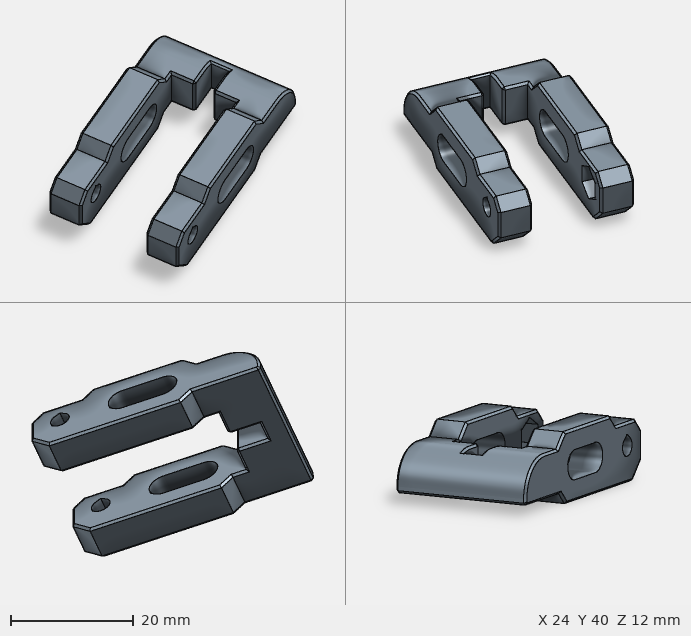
import cadquery as cq
import math

width = 24.0
length = 40.0
height = 12.0
edge_break = 0.4

tip_top = 10.0
tip_top_chamfer = 2.0
tip_bottom_chamfer = 3.0
front_ramp_start = 8.75
hump_rear = 26.5
nose_top = 9.5
nose_bottom = 2.0
nose_radius = 6.5
belly_rear = 26.0

leg_width = 6.0
gap_depth = 30.5
relief_width = 3.3
relief_depth = 36.0

axis_height = height / 2
slot_length = 12.0
slot_width = 5.0
slot_center = 19.5
pivot_center = 5.0
pivot_diameter = 3.25
roof_slope = 35.0
nut_across_flats = 5.5
nut_depth = leg_width / 2

gap_width = width - 2 * leg_width
openings = [(gap_width, gap_depth), (relief_width, relief_depth)]

tolerance = 0.005


def make_blank():
    """Side profile extruded across the full width, centred on X = 0."""
    front_ramp_end = front_ramp_start + height - tip_top
    rear_ramp_end = hump_rear + height - nose_top
    arc_y = length - nose_radius
    arc_z = nose_top - nose_radius
    arc_mid = nose_radius * math.sqrt(0.5)
    return (
        cq.Workplane("YZ")
        .moveTo(tip_bottom_chamfer, 0)
        .lineTo(belly_rear, 0)
        .lineTo(belly_rear + nose_bottom, nose_bottom)
        .lineTo(length - edge_break, nose_bottom)
        .lineTo(length, nose_bottom + edge_break)
        .lineTo(length, arc_z)
        .threePointArc((arc_y + arc_mid, arc_z + arc_mid), (arc_y, nose_top))
        .lineTo(rear_ramp_end, nose_top)
        .lineTo(hump_rear, height)
        .lineTo(front_ramp_end, height)
        .lineTo(front_ramp_start, tip_top)
        .lineTo(tip_top_chamfer, tip_top)
        .lineTo(0, tip_top - tip_top_chamfer)
        .lineTo(0, tip_bottom_chamfer)
        .close()
        .extrude(width / 2, both=True)
    )


def make_opening(opening_width, depth):
    """Full-height opening that runs from the front of the part back to Y = depth."""
    return cq.Workplane("XY").box(opening_width, depth, height, centered=(True, False, False))


def is_inner_corner(edge):
    """True for the upright corners at the rear of each opening, which stay sharp."""
    center = edge.Center()
    bounds = edge.BoundingBox()
    upright = bounds.xlen < tolerance and bounds.ylen < tolerance
    return upright and any(
        abs(abs(center.x) - opening_width / 2) < tolerance and abs(center.y - depth) < tolerance
        for opening_width, depth in openings
    )


def break_edges(body):
    """Chamfer the rims of the side faces, of the leg inner faces and of the opening rear walls."""
    opening_depths = [depth for _, depth in openings]
    rear_walls = [
        face
        for face in body.faces("|Y").vals()
        if any(abs(face.Center().y - depth) < tolerance for depth in opening_depths)
    ]
    rims = body.faces("|X").edges().add(body.newObject(rear_walls).edges())
    broken_rims = [edge for edge in rims.vals() if not is_inner_corner(edge)]
    return body.newObject(broken_rims).chamfer(edge_break)


def make_slot():
    """Long rounded slot through both legs."""
    return (
        cq.Workplane("YZ")
        .center(slot_center, axis_height)
        .slot2D(slot_length, slot_width)
        .extrude(width / 2, both=True)
    )


def make_pivot_hole():
    """Round hole through both legs whose top rises into a pointed roof tangent to the round."""
    radius = pivot_diameter / 2
    half_span = radius * math.sin(math.radians(roof_slope))
    eaves = radius * math.cos(math.radians(roof_slope))
    ridge = radius / math.cos(math.radians(roof_slope))
    return (
        cq.Workplane("YZ")
        .center(pivot_center, axis_height)
        .moveTo(-half_span, eaves)
        .threePointArc((0, -radius), (half_span, eaves))
        .lineTo(0, ridge)
        .close()
        .extrude(width / 2, both=True)
    )


def make_nut_pocket():
    """Hexagonal pocket in the inner face of the +X leg, with one corner pointing up."""
    corner_radius = nut_across_flats / 2 / math.cos(math.pi / 6)
    corners = [
        (corner_radius * math.sin(math.radians(angle)), corner_radius * math.cos(math.radians(angle)))
        for angle in range(0, 360, 60)
    ]
    return (
        cq.Workplane("YZ", origin=(gap_width / 2, pivot_center, axis_height))
        .polyline(corners)
        .close()
        .extrude(nut_depth)
    )


body = make_blank()
for opening_width, depth in openings:
    body = body.cut(make_opening(opening_width, depth))
body = break_edges(body)
result = body.cut(make_slot()).cut(make_pivot_hole()).cut(make_nut_pocket())